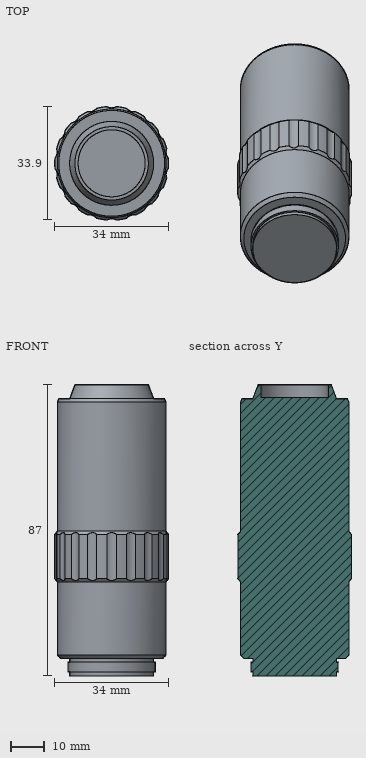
import cadquery as cq
import math

total_height = 87.0
barrel_diameter = 32.45
barrel_radius = barrel_diameter / 2
barrel_bottom = 5.2
barrel_top = 82.8
barrel_bottom_chamfer = 1.05
barrel_top_chamfer_width = 0.4
barrel_top_chamfer_height = 1.05

neck_radius = 12.5
band_radius = 13.05
band_bottom = 1.3
band_top = 4.2

nose_base_radius = 12.5
nose_top_radius = 11.0
recess_radius = 10.0
recess_depth = 3.8

grip_diameter = 34.0
grip_radius = grip_diameter / 2
grip_bottom = 28.1
grip_top = 43.2
grip_chamfer_height = 1.0
flute_count = 18
flute_width = 2.9
flute_depth = 0.4


def make_profile_body():
    """Revolve the outer half section, from the mounting end to the nose."""
    outline = [
        (0, 0),
        (neck_radius, 0),
        (neck_radius, band_bottom),
        (band_radius, band_bottom),
        (band_radius, band_top),
        (neck_radius, band_top),
        (neck_radius, barrel_bottom),
        (barrel_radius - barrel_bottom_chamfer, barrel_bottom),
        (barrel_radius, barrel_bottom + barrel_bottom_chamfer),
        (barrel_radius, grip_bottom),
        (grip_radius, grip_bottom + grip_chamfer_height),
        (grip_radius, grip_top - grip_chamfer_height),
        (barrel_radius, grip_top),
        (barrel_radius, barrel_top - barrel_top_chamfer_height),
        (barrel_radius - barrel_top_chamfer_width, barrel_top),
        (nose_base_radius, barrel_top),
        (nose_top_radius, total_height),
        (0, total_height),
    ]
    return cq.Workplane("XZ").polyline(outline).close().revolve(360, (0, 0), (0, 1))


def make_flute_cutters():
    """Round bars parallel to Z, with one flute centred on the -Y side."""
    half_width = flute_width / 2
    edge_distance = math.sqrt(grip_radius**2 - half_width**2)
    depth_below_edges = edge_distance - (grip_radius - flute_depth)
    cutter_radius = (half_width**2 + depth_below_edges**2) / (2 * depth_below_edges)
    cutter_distance = grip_radius - flute_depth + cutter_radius
    return (
        cq.Workplane("XY", origin=(0, 0, grip_bottom))
        .polarArray(cutter_distance, -90, 360, flute_count)
        .circle(cutter_radius)
        .extrude(grip_top - grip_bottom)
    )


def make_recess():
    """Blind round recess in the nose face."""
    return (
        cq.Workplane("XY", origin=(0, 0, total_height - recess_depth))
        .circle(recess_radius)
        .extrude(recess_depth)
    )


result = make_profile_body().cut(make_flute_cutters()).cut(make_recess())